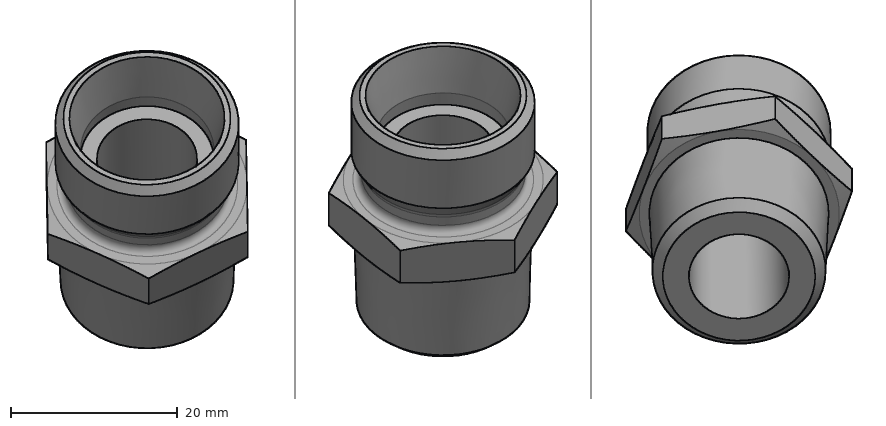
import cadquery as cq
import math

total_height = 33.0
hex_across_flats = 24.0
hex_bottom = 14.0
hex_top = 20.0
hex_chamfer_angle = 15.0
hex_face_diameter = hex_across_flats

upper_diameter = 22.0
upper_chamfer = 1.0
upper_bottom = 24.55
groove_diameter = 19.7
groove_flank_angle = 30.0
groove_fillet = 1.0

taper_top_diameter = 21.5
taper_bottom_diameter = 20.8
taper_chamfer = 1.25

bore_diameter = 12.0
socket_diameter = 16.0
cone_mouth_diameter = 18.6
cone_half_angle = 12.0
socket_floor = 25.0

groove_radius = groove_diameter / 2
upper_radius = upper_diameter / 2
taper_bottom_radius = taper_bottom_diameter / 2


def make_hexagon():
    """Hexagon with flats facing +X and -X, its corners bevelled at both ends."""
    height = hex_top - hex_bottom
    across_corners = hex_across_flats / math.cos(math.radians(30))
    prism = (
        cq.Workplane("XY", origin=(0, 0, hex_bottom))
        .polygon(6, across_corners)
        .extrude(height)
        .rotate((0, 0, 0), (0, 0, 1), 30)
    )
    middle = (hex_bottom + hex_top) / 2
    face_radius = hex_face_diameter / 2
    outer_radius = face_radius + height / 2 / math.tan(math.radians(hex_chamfer_angle))
    envelope = (
        cq.Workplane("XZ")
        .polyline([(0, hex_bottom), (face_radius, hex_bottom), (outer_radius, middle),
                   (face_radius, hex_top), (0, hex_top)])
        .close()
        .revolve(360, (0, 0, 0), (0, 1, 0))
    )
    return prism.intersect(envelope)


def make_round_body():
    """Turned body: tapered end, filleted groove and upper end."""
    fillet_middle = groove_fillet * (1 - math.sqrt(0.5))
    flank_angle = math.radians(groove_flank_angle)
    flank_foot = upper_bottom - (upper_radius - groove_radius) / math.tan(flank_angle)
    tangent_length = groove_fillet * math.tan(flank_angle / 2)
    fillet_end = (groove_radius + tangent_length * math.sin(flank_angle),
                  flank_foot + tangent_length * math.cos(flank_angle))
    return (
        cq.Workplane("XZ")
        .moveTo(0, 0)
        .lineTo(taper_bottom_radius - taper_chamfer, 0)
        .lineTo(taper_bottom_radius, taper_chamfer)
        .lineTo(taper_top_diameter / 2, hex_bottom)
        .lineTo(groove_radius + groove_fillet, hex_bottom)
        .lineTo(groove_radius + groove_fillet, hex_top)
        .threePointArc((groove_radius + fillet_middle, hex_top + fillet_middle),
                       (groove_radius, hex_top + groove_fillet))
        .lineTo(groove_radius, flank_foot - tangent_length)
        .tangentArcPoint(fillet_end, relative=False)
        .lineTo(upper_radius, upper_bottom)
        .lineTo(upper_radius, total_height - upper_chamfer)
        .lineTo(upper_radius - upper_chamfer, total_height)
        .lineTo(0, total_height)
        .close()
        .revolve(360, (0, 0, 0), (0, 1, 0))
    )


def make_passage():
    """Through bore that opens upward into a socket and a sealing cone."""
    bore_radius = bore_diameter / 2
    socket_radius = socket_diameter / 2
    mouth_radius = cone_mouth_diameter / 2
    cone_depth = (mouth_radius - socket_radius) / math.tan(math.radians(cone_half_angle))
    return (
        cq.Workplane("XZ")
        .polyline([(0, 0), (bore_radius, 0), (bore_radius, socket_floor),
                   (socket_radius, socket_floor),
                   (socket_radius, total_height - cone_depth),
                   (mouth_radius, total_height), (0, total_height)])
        .close()
        .revolve(360, (0, 0, 0), (0, 1, 0))
    )


result = make_hexagon().union(make_round_body()).cut(make_passage())